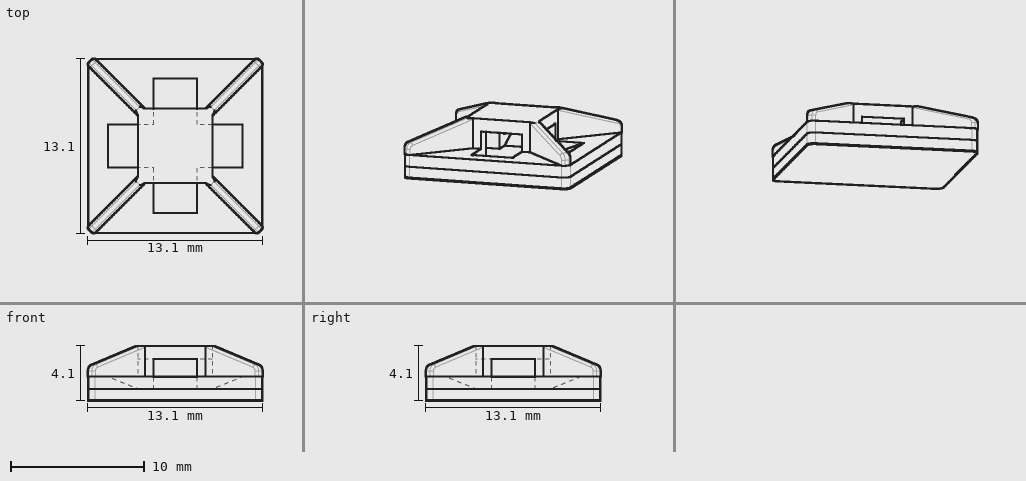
import cadquery as cq
import math

overall_side = 13.07
overall_height = 4.1
plate_side = 13.0
corner_radius = 0.52
liner_thickness = 0.08
pad_thickness = 0.82
plate_thickness = 0.9

pad_bottom = liner_thickness
mount_bottom = pad_bottom + pad_thickness
plate_top = mount_bottom + plate_thickness

block_side = 5.57
channel_angles = (0, 90)
channel_width = 3.22
channel_top = 3.12
channel_mouth_length = 10.04

rib_angles = (45, 135, 225, 315)
rib_width = 0.75
rib_end_top = 2.6
rib_end_fillet = 0.5
rib_edge_fillet = 0.2
rib_end_distance = (
    math.sqrt(2) * (overall_side / 2 - rib_edge_fillet) + 2 * rib_edge_fillet - rib_width / 2
)
rib_crest_distance = block_side / math.sqrt(2)


def rounded_plate(bottom, thickness):
    """Square plate with rounded vertical corners."""
    plate = cq.Workplane("XY").box(plate_side, plate_side, thickness, centered=(True, True, False))
    return plate.edges("|Z").fillet(corner_radius).translate((0, 0, bottom))


def rib(angle):
    """Sloping rib from the centre outward, rounded along its top and its outer end."""
    profile = [
        (0, plate_top),
        (rib_end_distance, plate_top),
        (rib_end_distance, rib_end_top),
        (rib_crest_distance, overall_height),
        (0, overall_height),
    ]
    body = cq.Workplane("XZ").polyline(profile).close().extrude(rib_width / 2, both=True)

    end_top_edge = cq.selectors.NearestToPointSelector((rib_end_distance, 0, rib_end_top))
    body = body.edges(end_top_edge).fillet(rib_end_fillet)

    body = body.faces(">X").edges("|Z").fillet(rib_edge_fillet)
    return body.rotate((0, 0, 0), (0, 0, 1), angle)


def strap_channel(angle):
    """Straight channel through the block, ramping from the plate top down to the pad at both mouths."""
    floor_half = block_side / 2
    mouth_half = channel_mouth_length / 2
    profile = [
        (-floor_half, mount_bottom),
        (floor_half, mount_bottom),
        (mouth_half, plate_top),
        (floor_half, plate_top),
        (floor_half, channel_top),
        (-floor_half, channel_top),
        (-floor_half, plate_top),
        (-mouth_half, plate_top),
    ]
    channel = cq.Workplane("XZ").polyline(profile).close().extrude(channel_width / 2, both=True)
    return channel.rotate((0, 0, 0), (0, 0, 1), angle)


def make_mount():
    block_height = overall_height - mount_bottom
    block = cq.Workplane("XY").box(block_side, block_side, block_height, centered=(True, True, False))
    mount = rounded_plate(mount_bottom, plate_thickness).union(block.translate((0, 0, mount_bottom)))
    for angle in rib_angles:
        mount = mount.union(rib(angle))
    for angle in channel_angles:
        mount = mount.cut(strap_channel(angle))
    return mount


def make_pad():
    return rounded_plate(pad_bottom, pad_thickness)


def make_liner():
    return rounded_plate(0, liner_thickness)


mount = make_mount()
pad = make_pad()
liner = make_liner()

result = cq.Compound.makeCompound([mount.val(), pad.val(), liner.val()])